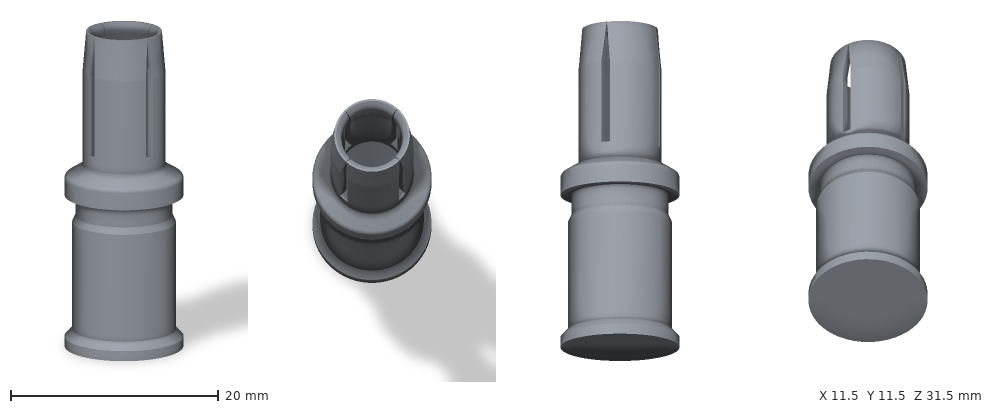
import cadquery as cq
import math

flange_diameter = 11.5
flange_radius = flange_diameter / 2
body_radius = 5.0
neck_radius = 4.7
sleeve_radius = 4.0
tip_radius = 3.65

total_height = 31.5
base_rim_top = 1.0
base_cone_top = 1.75
body_top = 12.45
neck_bottom = 13.1
collar_bottom = 15.1
collar_corner = 17.07
collar_cone_top = 18.15
taper_start = 27.5

collar_edge_round = 0.47
sleeve_root_round = 0.22

mouth_radius = 3.45
mouth_chamfer = 0.22
throat_radius = 2.93
socket_radius = 3.15
throat_depth = 0.95
socket_floor = 18.43
drill_point_angle = 118.0

slot_width = 0.88
slot_tip_width = 0.03
slot_bottom = 19.53


def make_body():
    """Revolve the stepped outline and round the two ends of the collar cone."""
    body = (
        cq.Workplane("XZ")
        .moveTo(0, 0)
        .lineTo(flange_radius, 0)
        .lineTo(flange_radius, base_rim_top)
        .lineTo(body_radius, base_cone_top)
        .lineTo(body_radius, body_top)
        .lineTo(neck_radius, neck_bottom)
        .lineTo(neck_radius, collar_bottom)
        .lineTo(flange_radius, collar_bottom)
        .lineTo(flange_radius, collar_corner)
        .lineTo(sleeve_radius, collar_cone_top)
        .lineTo(sleeve_radius, taper_start)
        .lineTo(tip_radius, total_height)
        .lineTo(0, total_height)
        .close()
        .revolve(360, (0, 0, 0), (0, 1, 0))
    )
    body = round_edge_at(body, collar_corner, collar_edge_round)
    return round_edge_at(body, collar_cone_top, sleeve_root_round)


def round_edge_at(body, height, radius):
    """Fillet the circular edge that lies at the given height."""
    margin = 0.003
    span = 2 * flange_radius
    selector = cq.selectors.BoxSelector(
        (-span, -span, height - margin), (span, span, height + margin)
    )
    return body.edges(selector).fillet(radius)


def make_socket():
    """Socket with a chamfered, rounded mouth, a narrow throat and a conical floor."""
    throat_height = total_height - throat_depth
    lip_radius = mouth_radius - mouth_chamfer
    lip_height = total_height - mouth_chamfer
    lip_width = lip_radius - throat_radius
    lip_rise = lip_height - throat_height
    lip_round = (lip_width**2 + lip_rise**2) / (2 * lip_width)
    lip_angle = math.asin(lip_rise / lip_round)
    lip_middle = (
        throat_radius + lip_round * (1 - math.cos(lip_angle / 2)),
        throat_height + lip_round * math.sin(lip_angle / 2),
    )
    point_depth = socket_radius / math.tan(math.radians(drill_point_angle / 2))
    return (
        cq.Workplane("XZ")
        .moveTo(0, socket_floor - point_depth)
        .lineTo(socket_radius, socket_floor)
        .lineTo(socket_radius, taper_start)
        .lineTo(throat_radius, throat_height)
        .threePointArc(lip_middle, (lip_radius, lip_height))
        .lineTo(mouth_radius, total_height)
        .lineTo(0, total_height)
        .close()
        .revolve(360, (0, 0, 0), (0, 1, 0))
    )


def make_slot(plane):
    """Slot across the full sleeve, straight below the taper and narrowing above it."""
    half_width = slot_width / 2
    half_tip_width = slot_tip_width / 2
    return (
        cq.Workplane(plane)
        .moveTo(-half_width, slot_bottom)
        .lineTo(half_width, slot_bottom)
        .lineTo(half_width, taper_start)
        .lineTo(half_tip_width, total_height)
        .lineTo(-half_tip_width, total_height)
        .lineTo(-half_width, taper_start)
        .close()
        .extrude(flange_radius, both=True)
    )


result = make_body().cut(make_socket())
for slot_plane in ("XZ", "YZ"):
    result = result.cut(make_slot(slot_plane))